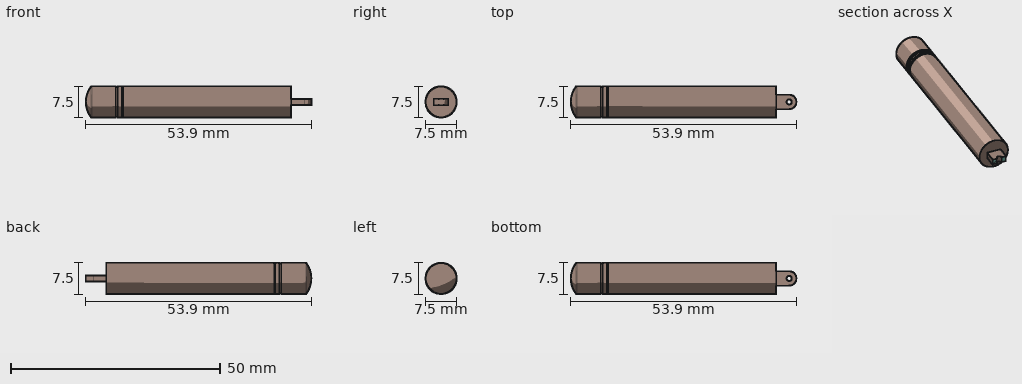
import cadquery as cq

total_length = 53.9
body_diameter = 7.5
body_radius = body_diameter / 2
dome_height = 1.3
dome_edge_radius = 0.2

lug_length = 4.85
lug_width = 3.5
lug_thickness = 1.5
lug_hole_diameter = 1.2
body_length = total_length - lug_length
lug_centre_x = total_length - lug_width / 2

front_groove_start = 7.2
front_groove_width = 0.5
rear_groove_start = 8.65
rear_groove_width = 0.3
groove_depth = 0.15


def make_body():
    """Round bar with a spherical cap and a softened rim at its -X end."""
    cap_radius = (body_radius**2 + dome_height**2) / (2 * dome_height)
    mid_x = dome_height / 4
    mid_radius = (cap_radius**2 - (cap_radius - mid_x) ** 2) ** 0.5
    bar = (
        cq.Workplane("XY")
        .threePointArc((mid_x, mid_radius), (dome_height, body_radius))
        .lineTo(body_length, body_radius)
        .lineTo(body_length, 0)
        .close()
        .revolve(360, (0, 0, 0), (1, 0, 0))
    )
    rim = cq.selectors.NearestToPointSelector((dome_height, 0, 0))
    return bar.edges("%CIRCLE").edges(rim).fillet(dome_edge_radius)


def make_groove(start, width):
    """Square-sided ring that cuts a groove around the body."""
    return (
        cq.Workplane("XY")
        .moveTo(start, body_radius)
        .lineTo(start, body_radius - groove_depth)
        .lineTo(start + width, body_radius - groove_depth)
        .lineTo(start + width, body_radius)
        .close()
        .revolve(360, (0, 0, 0), (1, 0, 0))
    )


def make_lug():
    """Flat tab with a rounded end and a hole along Z."""
    straight_length = lug_centre_x - body_length
    tab = (
        cq.Workplane("XY", origin=(body_length, 0, 0))
        .moveTo(0, -lug_width / 2)
        .lineTo(straight_length, -lug_width / 2)
        .threePointArc((lug_length, 0), (straight_length, lug_width / 2))
        .lineTo(0, lug_width / 2)
        .close()
        .extrude(lug_thickness / 2, both=True)
    )
    hole = (
        cq.Workplane("XY", origin=(lug_centre_x, 0, 0))
        .circle(lug_hole_diameter / 2)
        .extrude(lug_thickness, both=True)
    )
    return tab.cut(hole)


body = make_body()
body = body.cut(make_groove(front_groove_start, front_groove_width))
body = body.cut(make_groove(rear_groove_start, rear_groove_width))
result = body.union(make_lug())